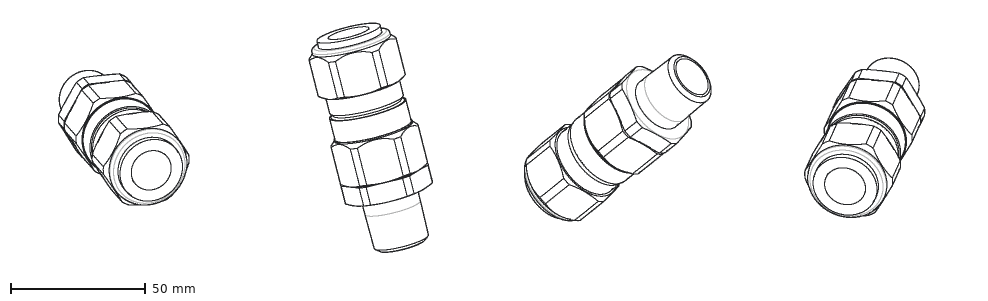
import cadquery as cq

OVERALL_LENGTH = 83.05

BORE_RADIUS = 7.8

TIP_RADIUS = 8.7
TIP_CHAMFER = 1.4
TAPER_START_RADIUS = 10.5
NIPPLE_RADIUS = 10.7
TAPER_END_X = 14.8

HEX_ACROSS_FLATS = 30.5
HEX_CORNER_DIAMETER = 33.55
HEX_FACE_RADIUS = 15.0
FLAT_UP_ANGLE = 30
NUT_TURN_ANGLE = 1.6

FLANGE_X = 20.1
FLANGE_CHAMFER = 0.5
BODY_HEX_X = 27.6
BODY_HEX_CHAMFER = 0.75
BODY_HEX_CONE_X = 42.8
BODY_HEX_END_X = 44.5
CAP_HEX_X = 61.9
CAP_HEX_CHAMFER = 0.9
CAP_HEX_CONE_X = 76.7
CAP_HEX_END_X = 78.6

BODY_RADIUS = 14.7
BODY_START_X = 45.0
BODY_END_X = 53.4
GROOVE_EDGE_RADIUS = 14.1
GROOVE_X = 54.1
GROOVE_RADIUS = 13.1
NECK_START_X = 55.3
NECK_RADIUS = 14.2

COLLAR_END_X = 80.6
COLLAR_FILLET = 1.1
TAIL_RADIUS = 12.2


def revolve_profile(points):
    """Turn an (x, radius) outline, closed along the axis, about the X axis."""
    first_x = points[0][0]
    last_x = points[-1][0]
    outline = [(first_x, 0)] + points + [(last_x, 0)]
    return cq.Workplane("XY").polyline(outline).close().revolve(360, (0, 0, 0), (1, 0, 0))


def hexagon(turned_outline, turn_angle):
    """Hexagonal prism, turned from flats facing along Z, trimmed to a turned outline with chamfered ends."""
    start_x = turned_outline[0][0]
    end_x = turned_outline[-1][0]
    prism = (
        cq.Workplane("YZ", origin=(start_x, 0, 0))
        .polygon(6, HEX_ACROSS_FLATS, circumscribed=True)
        .extrude(end_x - start_x)
        .rotate((0, 0, 0), (1, 0, 0), FLAT_UP_ANGLE + turn_angle)
    )
    return prism.intersect(revolve_profile(turned_outline))


corner_radius = HEX_CORNER_DIAMETER / 2

nipple = revolve_profile([
    (0, TIP_RADIUS),
    (TIP_CHAMFER, TAPER_START_RADIUS),
    (TAPER_END_X, NIPPLE_RADIUS),
    (FLANGE_X, NIPPLE_RADIUS),
])

flange_hex = hexagon(
    [
        (FLANGE_X, HEX_FACE_RADIUS),
        (FLANGE_X + FLANGE_CHAMFER, corner_radius),
        (BODY_HEX_X, corner_radius),
    ],
    0,
)

body_hex = hexagon(
    [
        (BODY_HEX_X, HEX_FACE_RADIUS),
        (BODY_HEX_X + BODY_HEX_CHAMFER, corner_radius),
        (BODY_HEX_CONE_X, corner_radius),
        (BODY_HEX_END_X, HEX_FACE_RADIUS),
    ],
    NUT_TURN_ANGLE,
)

body = revolve_profile([
    (BODY_HEX_END_X, HEX_FACE_RADIUS),
    (BODY_START_X, HEX_FACE_RADIUS),
    (BODY_START_X, BODY_RADIUS),
    (BODY_END_X, BODY_RADIUS),
    (BODY_END_X, GROOVE_EDGE_RADIUS),
    (GROOVE_X, GROOVE_RADIUS),
    (NECK_START_X, NECK_RADIUS),
    (CAP_HEX_X, NECK_RADIUS),
])

cap_hex = hexagon(
    [
        (CAP_HEX_X, HEX_FACE_RADIUS),
        (CAP_HEX_X + CAP_HEX_CHAMFER, corner_radius),
        (CAP_HEX_CONE_X, corner_radius),
        (CAP_HEX_END_X, HEX_FACE_RADIUS),
    ],
    NUT_TURN_ANGLE,
)

collar = revolve_profile([
    (CAP_HEX_END_X, HEX_FACE_RADIUS),
    (COLLAR_END_X, HEX_FACE_RADIUS),
]).edges(">X").fillet(COLLAR_FILLET)

tail = revolve_profile([
    (COLLAR_END_X, TAIL_RADIUS),
    (OVERALL_LENGTH, TAIL_RADIUS),
])

bore = cq.Workplane("YZ").circle(BORE_RADIUS).extrude(OVERALL_LENGTH)

result = nipple
for section in (flange_hex, body_hex, body, cap_hex, collar, tail):
    result = result.union(section)
result = result.cut(bore)